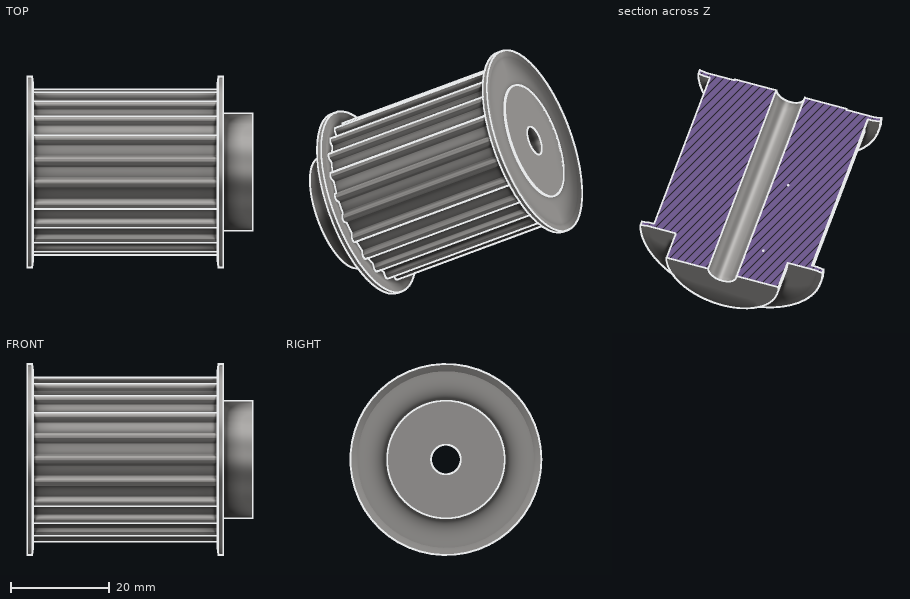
import cadquery as cq
import math


toothed_length = 40.0
hub_projection = 6.0
overall_length = toothed_length + hub_projection
hub_radius = 12.0
bore_radius = 3.0

flange_radius = 19.5
flare_start_radius = 18.0
flange_thickness = 1.0
flare_offset = 0.25

tooth_count = 22
tip_radius = 16.92
root_radius = 15.65
tip_flat_half_width = 0.1
tip_fillet = 0.69
root_fillet = 0.4
flank_angle = math.radians(17.0)


def tooth_half_profile():
    """Points from tip to root on one half of a tooth centred on the second axis.

    Returned in order: tip fillet start, middle and end, then root fillet start, middle and end.
    """
    normal = (math.cos(flank_angle), math.sin(flank_angle))
    along = (-normal[1], normal[0])

    tip_centre = (tip_flat_half_width, tip_radius - tip_fillet)
    tip_mid_angle = (math.pi / 2 + flank_angle) / 2
    tip_start = (tip_flat_half_width, tip_radius)
    tip_mid = (
        tip_centre[0] + tip_fillet * math.cos(tip_mid_angle),
        tip_centre[1] + tip_fillet * math.sin(tip_mid_angle),
    )
    tip_end = (tip_centre[0] + tip_fillet * normal[0], tip_centre[1] + tip_fillet * normal[1])

    across = tip_end[0] * normal[0] + tip_end[1] * normal[1] + root_fillet
    centre_distance = root_radius + root_fillet
    rise_along_flank = math.sqrt(centre_distance**2 - across**2)
    root_centre = (
        across * normal[0] + rise_along_flank * along[0],
        across * normal[1] + rise_along_flank * along[1],
    )
    start_angle = flank_angle + math.pi
    end_angle = math.atan2(root_centre[1], root_centre[0]) + math.pi
    root_points = [
        (root_centre[0] + root_fillet * math.cos(angle), root_centre[1] + root_fillet * math.sin(angle))
        for angle in (start_angle, (start_angle + end_angle) / 2, end_angle)
    ]
    return [tip_start, tip_mid, tip_end] + root_points


def turned(point, angle):
    """Rotate a profile point clockwise about the pulley axis."""
    cosine = math.cos(angle)
    sine = math.sin(angle)
    return (point[0] * cosine + point[1] * sine, point[1] * cosine - point[0] * sine)


def make_toothed_body():
    """Toothed barrel reaching the outer flat face of each flange, with a tooth centred on -Y."""
    pitch_angle = 2 * math.pi / tooth_count
    first_tooth_angle = -math.pi / 2
    falling_side = tooth_half_profile()
    rising_side = [(-across, height) for across, height in reversed(falling_side)]
    groove_middle = turned((0, root_radius), pitch_angle / 2)

    outline = cq.Workplane("YZ", origin=(flare_offset, 0, 0))
    outline = outline.moveTo(*turned(rising_side[0], first_tooth_angle))
    for index in range(tooth_count):
        angle = first_tooth_angle + index * pitch_angle
        rise = [turned(point, angle) for point in rising_side]
        fall = [turned(point, angle) for point in falling_side]
        next_root = turned(rising_side[0], angle + pitch_angle)
        outline = outline.threePointArc(rise[1], rise[2]).lineTo(*rise[3]).threePointArc(rise[4], rise[5])
        outline = outline.lineTo(*fall[0])
        outline = outline.threePointArc(fall[1], fall[2]).lineTo(*fall[3]).threePointArc(fall[4], fall[5])
        outline = outline.threePointArc(turned(groove_middle, angle), next_root)
    return outline.close().extrude(toothed_length - 2 * flare_offset)


def make_flange(rim_x, inward):
    """Flange with its outer rim edge at rim_x; inward is +1 or -1 along X, towards the belt."""
    flat_outer = rim_x + inward * flare_offset
    flat_inner = flat_outer + inward * flange_thickness
    section = [
        (flat_outer, 0),
        (flat_outer, flare_start_radius),
        (rim_x, flange_radius),
        (rim_x + inward * flange_thickness, flange_radius),
        (flat_inner, flare_start_radius),
        (flat_inner, 0),
    ]
    return cq.Workplane("XY").polyline(section).close().revolve(360, (0, 0, 0), (1, 0, 0))


def make_core():
    """Core that stands just proud of the first flange and forms the hub beyond the second."""
    return cq.Workplane("YZ").circle(hub_radius).extrude(overall_length)


def make_bore():
    return cq.Workplane("YZ").circle(bore_radius).extrude(overall_length)


pulley = make_toothed_body()
pulley = pulley.union(make_flange(0, 1)).union(make_flange(toothed_length, -1))
pulley = pulley.union(make_core())
result = pulley.cut(make_bore())